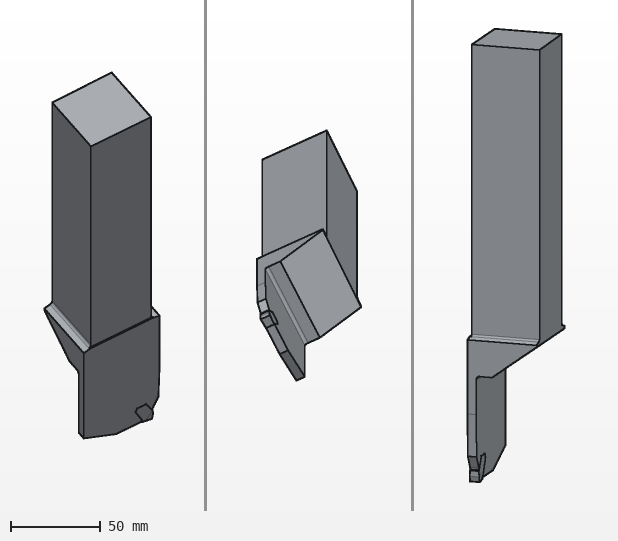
import cadquery as cq
import math

length = 250.0
head_width = 40.8
head_depth = 50.5
shank_width = 40.0
shank_front = 5.2
shank_back = shank_front + 40.0
side_taper = 0.8

step_z = 83.2
front_edge_z = 82.0
back_edge_z = 82.2
shoulder_z = 83.5
front_fillet = 2.0
back_fillet = 1.2

slope_top_z = 81.0
slope_end_x = 26.2
underside_z = 61.8
corner_fillet = 2.0

blade_left = 35.5
blade_thickness = head_width - blade_left
blade_bottom = 1.5
blade_front_z = 11.0
blade_bottom_front_y = 21.5
relief_top_z = 40.0
relief_end = (49.8, 15.5)
nose = (46.0, 8.5)

seat_back = (45.5, 7.0)
seat_front = (39.2, blade_bottom)
seat_corners = [(44.2, 9.2), (41.5, 14.2), (35.5, 14.2), (34.5, 11.8)]
cutting_tip = (45.2, 0.0)
cutting_edge_corners = [(39.0, 0.8), cutting_tip, (46.0, 3.2), (46.0, 6.5)]
flare_start = (45.2, 6.0)
flare_end = (40.5, 0.5)
flare = 0.2


def front_outline():
    """Shank, sloped head and thin blade in XZ, extruded through the depth."""
    body = (
        cq.Workplane("XZ")
        .polyline([
            (0, length),
            (0, slope_top_z),
            (slope_end_x, underside_z),
            (blade_left, underside_z),
            (blade_left, 0),
            (head_width, 0),
            (head_width, step_z),
            (shank_width, step_z),
            (shank_width, length),
        ])
        .close()
        .extrude(-head_depth)
    )
    inner_corner = cq.selectors.NearestToPointSelector((blade_left, head_depth / 2, underside_z))
    return body.edges(inner_corner).fillet(corner_fillet)


def side_outline():
    """Shank, flared shoulders and blade with its insert seat in YZ, extruded across the width."""
    body = (
        cq.Workplane("YZ")
        .moveTo(shank_front, length)
        .lineTo(shank_front, shoulder_z)
        .lineTo(0, front_edge_z)
        .lineTo(0, blade_front_z)
        .lineTo(blade_bottom_front_y, blade_bottom)
        .lineTo(*seat_front)
        .polyline(seat_corners[::-1], includeCurrent=True)
        .lineTo(*seat_back)
        .lineTo(*nose)
        .lineTo(*relief_end)
        .lineTo(head_depth, relief_top_z)
        .lineTo(head_depth, back_edge_z)
        .lineTo(shank_back, shoulder_z)
        .lineTo(shank_back, length)
        .close()
        .extrude(head_width)
    )
    middle = head_width / 2
    for shank_side, radius in [(shank_front, front_fillet), (shank_back, back_fillet)]:
        shoulder_corner = cq.selectors.NearestToPointSelector((middle, shank_side, shoulder_z))
        body = body.edges(shoulder_corner).fillet(radius)
    return body


def plan_outline():
    """Full-height block whose left side leans in towards the front."""
    return (
        cq.Workplane("XY")
        .polyline([(side_taper, 0), (head_width, 0), (head_width, head_depth), (0, head_depth)])
        .close()
        .extrude(length)
    )


def make_holder():
    return front_outline().intersect(side_outline()).intersect(plan_outline())


def make_insert():
    """Cutting insert as thick as the blade, flaring on both sides towards its tip."""
    corners = [seat_back] + seat_corners + [seat_front] + cutting_edge_corners
    half = blade_thickness / 2
    middle = blade_left + half
    wide_half = half + flare
    blank = (
        cq.Workplane("YZ", origin=(middle, 0, 0))
        .polyline(corners)
        .close()
        .extrude(wide_half, both=True)
    )

    along_y = flare_end[0] - flare_start[0]
    along_z = flare_end[1] - flare_start[1]
    run = math.hypot(along_y, along_z)
    tip_y = cutting_tip[0] - flare_start[0]
    tip_z = cutting_tip[1] - flare_start[1]
    tip_distance = (tip_y * -along_z + tip_z * along_y) / run
    reach = head_depth
    flare_plane = cq.Plane(
        origin=(middle, *flare_start),
        xDir=(1, 0, 0),
        normal=(0, -along_y, -along_z),
    )
    envelope = (
        cq.Workplane(flare_plane)
        .polyline([
            (-half, -reach),
            (half, -reach),
            (half, 0),
            (wide_half, tip_distance),
            (-wide_half, tip_distance),
            (-half, 0),
        ])
        .close()
        .extrude(reach, both=True)
    )
    return blank.intersect(envelope)


holder = make_holder()
insert = make_insert()

result = cq.Compound.makeCompound([holder.val(), insert.val()])